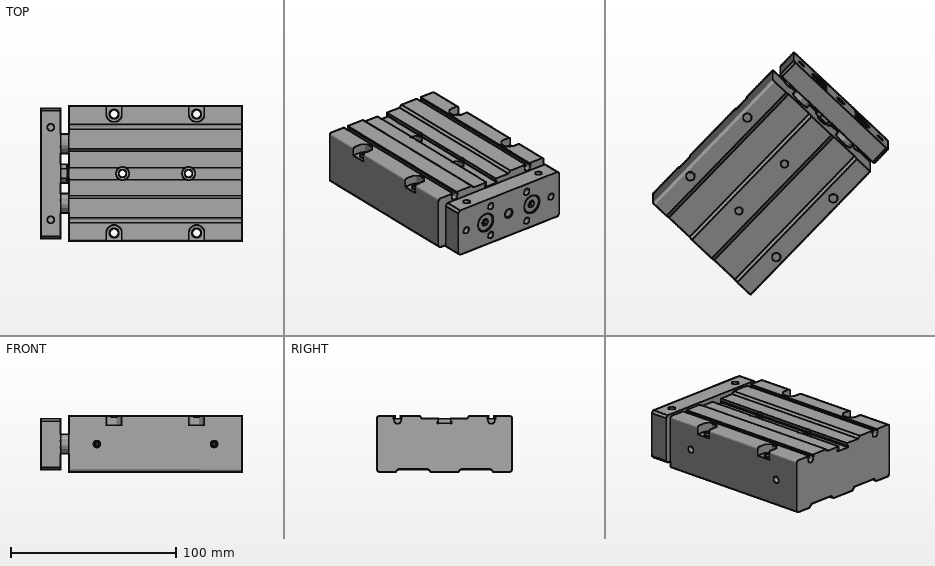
import cadquery as cq

total_length = 122.0
plate_thickness = 12.0
rod_gap = 5.0
body_front = plate_thickness + rod_gap
body_length = total_length - body_front

body_width = 82.0
body_height = 34.0
body_top = body_height / 2
top_edge_radius = 1.6
bottom_edge_radius = 2.0
overcut = 1.0

channel_depth = 1.5
top_channel_width = 27.0
bottom_pad_width = 16.6
bottom_foot_inner = 29.6
bottom_channel_depth = 2.0

t_slot_neck_width = 7.3
t_slot_neck_depth = 2.0
t_slot_width = 9.0
t_slot_depth = 3.0
t_slot_floor = body_top - channel_depth - t_slot_depth

sensor_slot_y = 28.4
sensor_slot_mouth = 3.0
sensor_slot_lip = 0.9
sensor_slot_lip_width = 5.0
sensor_slot_bottom_diameter = 4.2
sensor_slot_depth = 4.7

mount_first_x = 44.4
mount_pitch = 50.0
mount_y = 36.0
mount_hole_diameter = 5.2
mount_mouth_diameter = 5.7
mount_mouth_depth = (mount_mouth_diameter - mount_hole_diameter) / 2
mount_pocket_width = 9.5
mount_pocket_depth = 5.5

centre_first_x = 49.5
centre_pitch = 40.0
centre_hole_diameter = 4.5
centre_bore_diameter = 8.0
centre_bore_depth = 4.2

port_positions_x = (34.0, 105.0)
port_diameter = 4.2
port_depth = 5.0
port_passage_diameter = 2.0
port_passage_depth = 8.0

plate_width = 79.0
plate_height = 30.9
plate_chamfer = 1.5
tap_diameter = 4.2
top_tap_y = 28.0
top_tap_depth = 8.0
face_tap_outer_y = 33.0
face_tap_inner_y = 14.0
face_tap_z = 10.0

guide_rod_y = 18.0
guide_rod_diameter = 12.0
guide_mark_depth = 0.4
socket_across_flats = 4.0
socket_depth = 3.0
piston_rod_diameter = 6.0
piston_mark_depth = 0.4
nut_across_flats = 10.0
nut_thickness = 4.0
hex_corner_ratio = 2 / 3 ** 0.5


def along_x(outline):
    """Extrude a closed Y-Z outline over the full body length."""
    return outline.close().extrude(body_length)


def body_section():
    """Y-Z sketch plane on the front face of the body."""
    return cq.Workplane("YZ", origin=(body_front, 0, 0))


def cylinder_x(diameter, start_x, length, y=0.0, z=0.0):
    """Cylinder along +X."""
    return cq.Workplane("YZ", origin=(start_x, y, z)).circle(diameter / 2).extrude(length)


def cylinder_down(diameter, x, y, top_z, depth):
    """Cylinder from top_z downwards."""
    return cq.Workplane("XY", origin=(x, y, top_z)).circle(diameter / 2).extrude(-depth)


def cone(diameter, depth, centre, direction):
    """45 degree countersink that narrows from the given diameter along the direction."""
    radius = diameter / 2
    return cq.Workplane(cq.Solid.makeCone(radius, radius - depth, depth, centre, direction))


def rod_mark(diameter, depth, y):
    """Shallow recess with a bevelled rim that marks a rod end in the plate face."""
    return cone(diameter, depth, cq.Vector(0, y, 0), cq.Vector(1, 0, 0))


def hexagon_x(across_flats, start_x, length, y=0.0):
    """Hexagonal prism along +X with two corners pointing along Y."""
    corner_diameter = across_flats * hex_corner_ratio
    return cq.Workplane("YZ", origin=(start_x, y, 0)).polygon(6, corner_diameter).extrude(length)


def top_channel():
    floor_half = top_channel_width / 2
    mouth_half = floor_half + channel_depth
    floor_z = body_top - channel_depth
    return along_x(
        body_section()
        .moveTo(-mouth_half, body_top)
        .lineTo(-floor_half, floor_z)
        .lineTo(floor_half, floor_z)
        .lineTo(mouth_half, body_top)
    )


def bottom_channel(side):
    floor_z = -body_top + bottom_channel_depth
    pad_edge = bottom_pad_width / 2
    return along_x(
        body_section()
        .moveTo(side * pad_edge, -body_top)
        .lineTo(side * (pad_edge + bottom_channel_depth), floor_z)
        .lineTo(side * (bottom_foot_inner - bottom_channel_depth), floor_z)
        .lineTo(side * bottom_foot_inner, -body_top)
    )


def t_slot():
    neck_bottom = body_top - channel_depth - t_slot_neck_depth
    neck_half = t_slot_neck_width / 2
    slot_half = t_slot_width / 2
    return along_x(
        body_section()
        .moveTo(-neck_half, body_top)
        .lineTo(-neck_half, neck_bottom)
        .lineTo(-slot_half, neck_bottom)
        .lineTo(-slot_half, t_slot_floor)
        .lineTo(slot_half, t_slot_floor)
        .lineTo(slot_half, neck_bottom)
        .lineTo(neck_half, neck_bottom)
        .lineTo(neck_half, body_top)
    )


def sensor_slot(y):
    mouth_half = sensor_slot_mouth / 2
    radius = sensor_slot_bottom_diameter / 2
    lip_half = sensor_slot_lip_width / 2
    lip_z = body_top - sensor_slot_lip
    bottom_z = body_top - sensor_slot_depth
    return along_x(
        body_section()
        .center(y, 0)
        .moveTo(-mouth_half, body_top)
        .lineTo(-mouth_half, lip_z)
        .lineTo(-lip_half, lip_z)
        .lineTo(-radius, bottom_z + radius)
        .threePointArc((0, bottom_z), (radius, bottom_z + radius))
        .lineTo(lip_half, lip_z)
        .lineTo(mouth_half, lip_z)
        .lineTo(mouth_half, body_top)
    )


def mounting_hole(x, side):
    y = side * mount_y
    floor_z = body_top - mount_pocket_depth
    open_length = body_width / 2 - mount_y + overcut
    pocket = cylinder_down(mount_pocket_width, x, y, body_top, mount_pocket_depth)
    opening = (
        cq.Workplane("XY", origin=(x, y + side * open_length / 2, body_top))
        .rect(mount_pocket_width, open_length)
        .extrude(-mount_pocket_depth)
    )
    hole = cylinder_down(mount_hole_diameter, x, y, floor_z, body_height)
    mouth = cone(mount_mouth_diameter, mount_mouth_depth, cq.Vector(x, y, floor_z), cq.Vector(0, 0, -1))
    return pocket.union(opening).union(hole).union(mouth)


def centre_hole(x):
    bore_height = body_top - t_slot_floor + centre_bore_depth
    bore = cylinder_down(centre_bore_diameter, x, 0, body_top, bore_height)
    return bore.union(cylinder_down(centre_hole_diameter, x, 0, body_top, body_height))


def air_port(x):
    side_plane = cq.Workplane("XZ", origin=(x, -body_width / 2, 0))
    port = side_plane.circle(port_diameter / 2).extrude(-port_depth)
    passage = side_plane.circle(port_passage_diameter / 2).extrude(-port_passage_depth)
    return port.union(passage)


def make_cylinder_body():
    body = (
        body_section()
        .rect(body_width, body_height)
        .extrude(body_length)
        .edges("|X and >Z")
        .fillet(top_edge_radius)
        .edges("|X and <Z")
        .fillet(bottom_edge_radius)
        .cut(top_channel())
        .cut(t_slot())
    )
    for side in (-1, 1):
        body = body.cut(bottom_channel(side)).cut(sensor_slot(side * sensor_slot_y))
        for x in (mount_first_x, mount_first_x + mount_pitch):
            body = body.cut(mounting_hole(x, side))
    for x in (centre_first_x, centre_first_x + centre_pitch):
        body = body.cut(centre_hole(x))
    for x in port_positions_x:
        body = body.cut(air_port(x))
    return body


def make_plate_with_rods():
    plate = (
        cq.Workplane("YZ")
        .rect(plate_width, plate_height)
        .extrude(plate_thickness)
        .edges("|X")
        .chamfer(plate_chamfer)
    )
    plate = plate.union(cylinder_x(piston_rod_diameter, plate_thickness, rod_gap))
    plate = plate.union(hexagon_x(nut_across_flats, plate_thickness, nut_thickness))
    plate = plate.cut(rod_mark(piston_rod_diameter, piston_mark_depth, 0))
    for side in (-1, 1):
        rod_y = side * guide_rod_y
        plate = plate.union(cylinder_x(guide_rod_diameter, plate_thickness, rod_gap, rod_y))
        plate = plate.cut(rod_mark(guide_rod_diameter, guide_mark_depth, rod_y))
        plate = plate.cut(hexagon_x(socket_across_flats, 0, socket_depth, rod_y))
        tap_y = side * top_tap_y
        plate = plate.cut(
            cylinder_down(tap_diameter, plate_thickness / 2, tap_y, plate_height / 2, top_tap_depth)
        )
        plate = plate.cut(cylinder_x(tap_diameter, 0, plate_thickness, side * face_tap_outer_y))
        for z in (-face_tap_z, face_tap_z):
            plate = plate.cut(cylinder_x(tap_diameter, 0, plate_thickness, side * face_tap_inner_y, z))
    return plate


cylinder_body = make_cylinder_body()
plate_with_rods = make_plate_with_rods()
result = cq.Compound.makeCompound([cylinder_body.val(), plate_with_rods.val()])